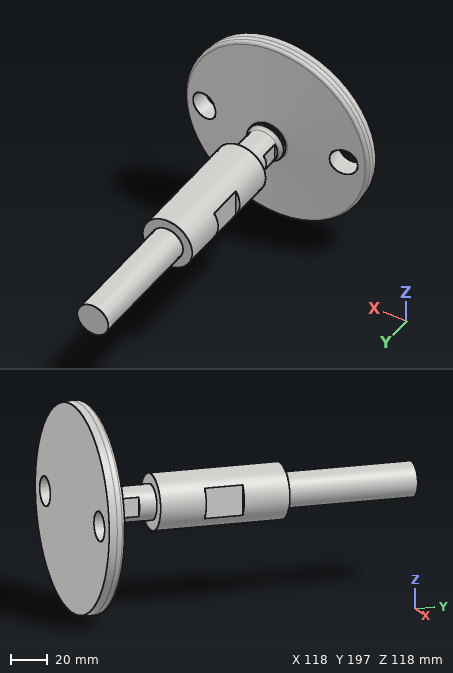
import cadquery as cq
import math

TOTAL_LENGTH = 197.0

FOOT_DIAMETER = 118.0
SOLE_DIAMETER = 116.8
RIM_LOW = 4.3
RIM_HIGH = 7.3
FOOT_TOP_DIAMETER = 24.5
CONE_ANGLE = 10.0
SHOULDER_RADIUS = 2.2
SLOPE = math.radians(CONE_ANGLE)
FOOT_HEIGHT = (
    RIM_HIGH
    + SHOULDER_RADIUS / math.cos(SLOPE)
    + ((FOOT_DIAMETER - FOOT_TOP_DIAMETER) / 2 - SHOULDER_RADIUS) * math.tan(SLOPE)
)
MOUNT_HOLE_DIAMETER = 16.5
MOUNT_HOLE_OFFSET = 42.7

ROD_DIAMETER = 20.0
NECK_DIAMETER = 22.5
COLLAR_DIAMETER = 23.6
COLLAR_BOTTOM = 18.7
COLLAR_SHOULDER = 20.5
COLLAR_TOP = 22.9
COLLAR_BULGE = 0.3
ROD_FLAT_WIDTH = 17.0
ROD_FLAT_BOTTOM = 24.0
ROD_FLAT_LENGTH = 11.5

SLEEVE_DIAMETER = 32.0
SLEEVE_BOTTOM = 45.5
SLEEVE_LENGTH = 75.0
SLEEVE_FLAT_WIDTH = 27.0
SLEEVE_FLAT_LENGTH = 22.0


def revolve_about_y(profile):
    """Turn a closed XY half-profile into a solid around the Y axis."""
    return profile.revolve(360, (0, 0, 0), (0, 1, 0))


def mount_hole(side):
    """Cutter for one hole, square to the conical face, on the +X (1) or -X (-1) side."""
    direction = cq.Vector(side * math.sin(SLOPE), math.cos(SLOPE), 0)
    sole_point = cq.Vector(side * MOUNT_HOLE_OFFSET, 0, 0)
    start = sole_point - direction * FOOT_HEIGHT
    return cq.Solid.makeCylinder(MOUNT_HOLE_DIAMETER / 2, 2 * FOOT_HEIGHT, start, direction)


def make_foot():
    """Conical disc with a rounded shoulder, a tapered rim and two mounting holes."""
    rim_radius = FOOT_DIAMETER / 2
    top_radius = FOOT_TOP_DIAMETER / 2

    center_x = rim_radius - SHOULDER_RADIUS

    def shoulder_point(angle):
        return (
            center_x + SHOULDER_RADIUS * math.cos(angle),
            RIM_HIGH + SHOULDER_RADIUS * math.sin(angle),
        )

    cone_end_angle = math.pi / 2 - SLOPE
    foot = revolve_about_y(
        cq.Workplane("XY")
        .lineTo(SOLE_DIAMETER / 2, 0)
        .lineTo(rim_radius, RIM_LOW)
        .lineTo(rim_radius, RIM_HIGH)
        .threePointArc(shoulder_point(cone_end_angle / 2), shoulder_point(cone_end_angle))
        .lineTo(top_radius, FOOT_HEIGHT)
        .lineTo(0, FOOT_HEIGHT)
        .close()
    )
    for side in (-1, 1):
        foot = foot.cut(cq.Workplane(mount_hole(side)))
    return foot


def cut_flats(body, diameter, width, bottom, length):
    """Cut two opposite wrench flats, facing -X and +X."""
    depth = (diameter - width) / 2
    for side in (-1, 1):
        cutter = cq.Workplane("XY").box(2 * depth, length, diameter)
        body = body.cut(cutter.translate((side * (width / 2 + depth), bottom + length / 2, 0)))
    return body


def make_spindle():
    """Stepped spindle with a rounded collar, standing on top of the foot."""
    rod_radius = ROD_DIAMETER / 2
    collar_radius = COLLAR_DIAMETER / 2
    sleeve_radius = SLEEVE_DIAMETER / 2
    sleeve_top = SLEEVE_BOTTOM + SLEEVE_LENGTH
    neck_radius = NECK_DIAMETER / 2

    spindle = revolve_about_y(
        cq.Workplane("XY")
        .moveTo(0, FOOT_HEIGHT)
        .lineTo(neck_radius, FOOT_HEIGHT)
        .lineTo(neck_radius, COLLAR_BOTTOM)
        .lineTo(collar_radius, COLLAR_BOTTOM)
        .lineTo(collar_radius, COLLAR_SHOULDER)
        .sagittaArc((rod_radius, COLLAR_TOP), COLLAR_BULGE)
        .lineTo(rod_radius, SLEEVE_BOTTOM)
        .lineTo(sleeve_radius, SLEEVE_BOTTOM)
        .lineTo(sleeve_radius, sleeve_top)
        .lineTo(rod_radius, sleeve_top)
        .lineTo(rod_radius, TOTAL_LENGTH)
        .lineTo(0, TOTAL_LENGTH)
        .close()
    )
    spindle = cut_flats(spindle, ROD_DIAMETER, ROD_FLAT_WIDTH, ROD_FLAT_BOTTOM, ROD_FLAT_LENGTH)
    sleeve_flat_bottom = SLEEVE_BOTTOM + (SLEEVE_LENGTH - SLEEVE_FLAT_LENGTH) / 2
    return cut_flats(
        spindle, SLEEVE_DIAMETER, SLEEVE_FLAT_WIDTH, sleeve_flat_bottom, SLEEVE_FLAT_LENGTH
    )


foot = make_foot()
spindle = make_spindle()
result = cq.Compound.makeCompound([foot.solids().val(), spindle.solids().val()])